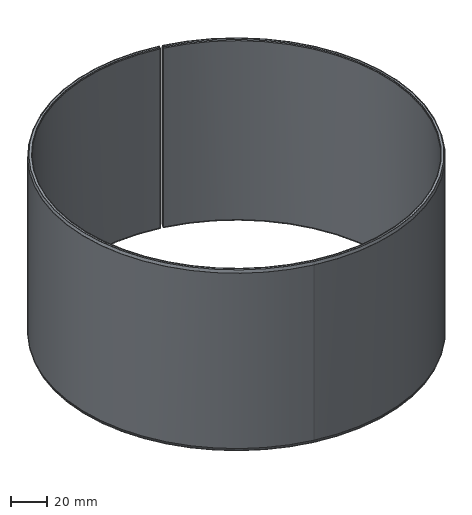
import math

import cadquery as cq

outer_diameter = 230.0
height = 120.0
wall_thickness = 2.5
outer_taper_height = 1.8
outer_taper_angle = 20.0
inner_taper_height = 0.6
inner_taper_angle = 30.0
slit_width = 2.0

outer_radius = outer_diameter / 2
inner_radius = outer_radius - wall_thickness
rim_outer_radius = outer_radius - outer_taper_height * math.tan(math.radians(outer_taper_angle))
rim_inner_radius = inner_radius + inner_taper_height * math.tan(math.radians(inner_taper_angle))
half_height = height / 2
outer_shoulder = half_height - outer_taper_height
inner_shoulder = half_height - inner_taper_height


def make_band():
    """Closed ring centred on the origin, its wall tapered outside and inside at both rims."""
    wall_section = (
        cq.Workplane("XZ")
        .moveTo(rim_inner_radius, -half_height)
        .lineTo(rim_outer_radius, -half_height)
        .lineTo(outer_radius, -outer_shoulder)
        .lineTo(outer_radius, outer_shoulder)
        .lineTo(rim_outer_radius, half_height)
        .lineTo(rim_inner_radius, half_height)
        .lineTo(inner_radius, inner_shoulder)
        .lineTo(inner_radius, -inner_shoulder)
        .close()
    )
    return wall_section.revolve(360, (0, 0, 0), (0, 1, 0))


def make_slit():
    """Full-height cutter from the axis out through the -X wall, with one face on Y = 0."""
    cutter = cq.Workplane("XY").box(outer_radius, slit_width, height, centered=(False, False, True))
    return cutter.translate((-outer_radius, 0, 0))


result = make_band().cut(make_slit())